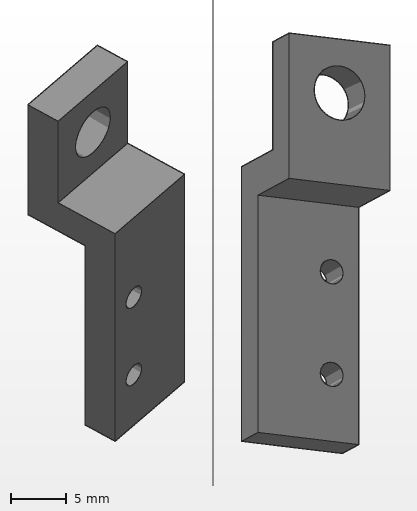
import cadquery as cq

height = 35.5
depth = 10.0
width = 10.0
thickness = 3.48

tab_height = 10.0
shelf_top = height - tab_height
shelf_bottom = shelf_top - thickness

tab_hole_diameter = 5.0
tab_hole_z = height - tab_height / 2

leg_hole_diameter = 2.25
leg_hole_edge_distance = 2.7
leg_hole_y = leg_hole_edge_distance - width / 2
lower_leg_hole_z = 6.2
leg_hole_spacing = 9.5


def cross_hole(diameter, y, z):
    """Cylinder along X that cuts through the full depth at (y, z)."""
    return (
        cq.Workplane("YZ")
        .center(y, z)
        .circle(diameter / 2)
        .extrude(depth)
    )


result = (
    cq.Workplane("XZ")
    .moveTo(0, height)
    .lineTo(thickness, height)
    .lineTo(thickness, shelf_top)
    .lineTo(depth, shelf_top)
    .lineTo(depth, 0)
    .lineTo(depth - thickness, 0)
    .lineTo(depth - thickness, shelf_bottom)
    .lineTo(0, shelf_bottom)
    .close()
    .extrude(width / 2, both=True)
)

result = result.cut(cross_hole(tab_hole_diameter, 0, tab_hole_z))

for hole_z in (lower_leg_hole_z, lower_leg_hole_z + leg_hole_spacing):
    result = result.cut(cross_hole(leg_hole_diameter, leg_hole_y, hole_z))